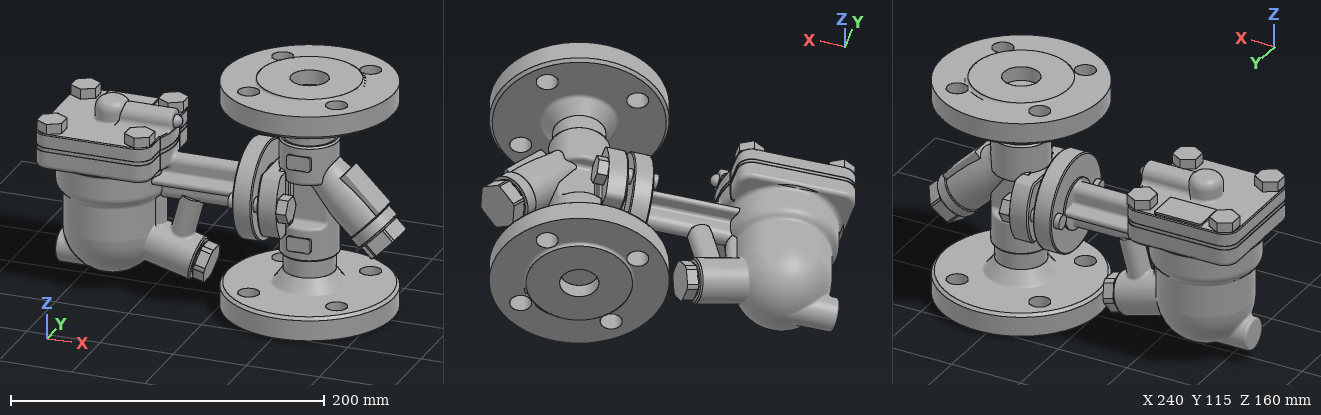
import cadquery as cq
import math


FACE_TO_FACE = 160.0
FLANGE_DIA = 115.0
FLANGE_THICK = 18.0
FACE_DIA = 68.0
FACE_HEIGHT = 2.0
FLANGE_CHAMFER = 2.0
BOLT_CIRCLE_DIA = 85.0
FLANGE_HOLE_DIA = 14.0
BORE_DIA = 25.0
BORE_DEPTH = 10.0
NECK_DIA = 34.0
HUB_BASE_DIA = 49.0
HUB_HEIGHT = 10.0
HUB_FILLET = 3.0
BODY_DIA = 39.0
BODY_LENGTH = 80.0
BODY_CHAMFER = 1.2
LABEL_PAD_LENGTH = 16.2
LABEL_PAD_HEIGHT = 10.2
LABEL_PAD_CORNER = 2.0
LABEL_PAD_FACE = 20.0
LABEL_PAD_Z = 28.4
WAIST_WIDTH = 21.0
WAIST_HEIGHT = 29.2
WAIST_LIP_FILLET = 2.5
WAIST_ROOT_FILLET = 3.0

STRAINER_START_Z = 27.5
STRAINER_ANGLE = 45.0
STRAINER_ROOT_RADIUS = 13.6
STRAINER_MIDDLE_RADIUS = 15.4
STRAINER_RADIUS = 15.6
STRAINER_ROOT = 18.0
STRAINER_MIDDLE = 36.0
COLLAR_START = 57.5
COLLAR_END = 65.8
COLLAR_RADIUS = 16.3
STRAINER_PAD_START = 24.0
STRAINER_PAD_WIDTH = 19.6
STRAINER_PAD_TOP = 16.2
STRAINER_PAD_EDGE = 1.0
STRAINER_WASHER_DIA = 28.0
STRAINER_WASHER_THICK = 1.2
STRAINER_CAP_AF = 28.0
STRAINER_CAP_TURNED_DIA = 31.5
STRAINER_CAP_END = 76.95
STRAINER_CAP_TURN = -12.0

JOINT_Z = -2.0
DISC_DIA = 67.4
DISC_LEFT_X = -40.2
DISC_RIGHT_X = -27.0
DISC_CHAMFER = 0.8
SPIGOT_DIA = 35.0
SPIGOT_LIP = 1.2
SEAT_LEFT_X = -23.3
SEAT_RIGHT_X = -10.0
SEAT_HEIGHT = 43.4
SEAT_EDGE = 1.0
SEAT_CORNER = 4.4
SEAT_WEB_RIGHT_X = -7.0
SEAT_WEB_LEFT_X = -14.4
SEAT_WEB_WIDTH = 34.0
SEAT_WEB_HEIGHT = 45.0
SEAT_WEB_CORNER = 2.0
JOINT_BOLT_DIA = 10.0
JOINT_BOLT_Y = 25.5
JOINT_BOLT_LEFT_X = -44.2
JOINT_BOLT_AF = 16.0
JOINT_BOLT_HEAD = 7.0

TRAP_X = -134.6
BOWL_RADIUS = 32.0
BOWL_CENTRE_Z = -41.7
BOWL_TOP_Z = -19.2
DRUM_RADIUS = 36.5
DRUM_BOTTOM_Z = -10.5
DRUM_TOP_Z = 3.2
DRUM_FLARE = 2.8
SHOULDER_RADIUS = 7.2
PLATE_HALF = 40.0
PLATE_RIGHT = 38.9
PLATE_CORNER = 10.0
PLATE_BOTTOM_Z = 6.0
PLATE_BOTTOM_FILLET = 2.9
GASKET_BOTTOM_Z = 18.6
GASKET_TOP_Z = 21.2
GASKET_INSET = 0.3
COVER_TOP_Z = 30.7
COVER_EDGE = 0.7
COVER_BULGE_RADIUS = 42.8
COVER_BULGE_WIDTH = 34.0
COVER_BOLT_PITCH = 60.0
COVER_BOLT_AF = 17.0
COVER_BOLT_HEAD = 7.0
PLATE_LABEL_LENGTH = 34.0
PLATE_LABEL_WIDTH = 21.8
PLATE_LABEL_Y = 26.9
PLATE_LABEL_HEIGHT = 1.3
PLATE_LABEL_CORNER = 1.0

DOME_RADIUS = 11.2
DOME_TOP_RADIUS = 4.0
DOME_TOP_Z = 46.0
DOME_FILLET = 2.0
RIDGE_RADIUS = 8.0
RIDGE_AXIS_Z = 35.5
RIDGE_FOOT = 4.5
RIDGE_END_EDGE = 1.2
BALL_RADIUS = 8.73 / 2
BALL_REACH = 4.8

SIDE_BOSS_RADIUS = 11.3
SIDE_BOSS_Z = -62.3
SIDE_BOSS_END_X = -170.0
SIDE_BOSS_FILLET = 1.8
SIDE_BOSS_ROOT_FILLET = 2.2
OUTLET_ANGLE = 15.0
OUTLET_DIA = 29.6
OUTLET_LENGTH = 61.2
OUTLET_EDGE = 1.0
OUTLET_ROOT_FILLET = 1.5
OUTLET_WASHER_DIA = 22.0
OUTLET_WASHER_THICK = 1.2
OUTLET_CAP_AF = 24.0
OUTLET_CAP_TURNED_DIA = 26.0
OUTLET_CAP_END = 70.0
CROSS_PIPE_DIA = 16.0
CROSS_PIPE_FILLET = 2.0
CROSS_PIPE_TOP_Z = -14.0
CROSS_PIPE_AT = 46.1
BOWL_RIB_WIDTH = 12.0
BOWL_RIB_X = -97.6
BOWL_RIB_ROUNDING = 5.9

ARM_HEIGHT = 32.0
ARM_WIDTH = 12.0
ARM_RIB_SPAN = 32.4
ARM_RIB_THICK = 5.0
ARM_GROOVE_FILLET = 2.4
ARM_TRAP_FILLET = 2.5
ARM_DISC_FILLET = 1.2

SEAM_TOLERANCE = 1e-4
SELECT_MARGIN = 1.0
Y_DIR = (0, 1, 0)


def along(origin, tilt=0.0):
    """Plane whose normal runs along +X, tilted down by `tilt` degrees; its x axis is Y."""
    angle = math.radians(tilt)
    return cq.Plane(origin, Y_DIR, (math.cos(angle), 0, -math.sin(angle)))


def hexagon(plane, start, end, across_flats):
    """Hexagonal prism along the plane normal with a corner on the plane's x axis."""
    corner_dia = across_flats / math.cos(math.radians(30))
    return cq.Workplane(plane).workplane(offset=start).polygon(6, corner_dia).extrude(end - start)


def cylinder(plane, start, end, diameter):
    return cq.Workplane(plane).workplane(offset=start).circle(diameter / 2).extrude(end - start)


def box(x_range, y_range, z_range):
    size = [high - low for low, high in (x_range, y_range, z_range)]
    corner = (x_range[0], y_range[0], z_range[0])
    return cq.Workplane("XY").box(*size, centered=False).translate(corner)


def blend(first, second, radius):
    """Union of two bodies with a fillet along the seam where their surfaces meet."""
    joined = first.union(second)
    bodies = (first.val(), second.val())
    seam = []
    for edge in joined.edges().vals():
        middle = cq.Vertex.makeVertex(*edge.positionAt(0.5).toTuple())
        if all(middle.distance(body) < SEAM_TOLERANCE for body in bodies):
            seam.append(edge)
    return joined.newObject(seam).fillet(radius)


def pipe_flange():
    """Top flange with hub; the bottom one is its mirror image."""
    top = FACE_TO_FACE / 2
    plate_top = top - FACE_HEIGHT
    plate_bottom = top - FLANGE_THICK
    hub_bottom = plate_bottom - HUB_HEIGHT
    face_radius = FACE_DIA / 2
    arc_drop = FACE_HEIGHT * math.sin(math.radians(45))
    flange = (
        cq.Workplane("XZ")
        .moveTo(0, BODY_LENGTH / 2)
        .lineTo(NECK_DIA / 2, BODY_LENGTH / 2)
        .lineTo(NECK_DIA / 2, hub_bottom)
        .lineTo(HUB_BASE_DIA / 2, plate_bottom)
        .lineTo(FLANGE_DIA / 2 - FLANGE_CHAMFER, plate_bottom)
        .lineTo(FLANGE_DIA / 2, plate_bottom + FLANGE_CHAMFER)
        .lineTo(FLANGE_DIA / 2, plate_top)
        .lineTo(face_radius + FACE_HEIGHT, plate_top)
        .threePointArc(
            (face_radius + FACE_HEIGHT - arc_drop, top - arc_drop), (face_radius, top)
        )
        .lineTo(0, top)
        .close()
        .revolve(360, (0, 0, 0), (0, 1, 0))
    )
    around_hub = cq.selectors.BoxSelector(
        (-HUB_BASE_DIA, -HUB_BASE_DIA, plate_bottom - SELECT_MARGIN),
        (HUB_BASE_DIA, HUB_BASE_DIA, plate_bottom + SELECT_MARGIN),
    )
    smallest = cq.selectors.RadiusNthSelector(0)
    flange = flange.edges("%CIRCLE").edges(around_hub).edges(smallest).fillet(HUB_FILLET)
    hole_offset = BOLT_CIRCLE_DIA / 2 * math.cos(math.radians(45))
    holes = (
        cq.Workplane("XY")
        .workplane(offset=plate_bottom)
        .rect(2 * hole_offset, 2 * hole_offset, forConstruction=True)
        .vertices()
        .circle(FLANGE_HOLE_DIA / 2)
        .extrude(FLANGE_THICK)
    )
    bore = cq.Workplane("XY").workplane(offset=top).circle(BORE_DIA / 2).extrude(-BORE_DEPTH)
    return flange.cut(holes).cut(bore)


def connector_body():
    """Vertical cylinder with two raised label pads and a waist flattened front and back."""
    body = (
        cq.Workplane("XY")
        .circle(BODY_DIA / 2)
        .extrude(BODY_LENGTH / 2, both=True)
        .edges()
        .chamfer(BODY_CHAMFER)
    )
    notch = box(
        (-BODY_DIA, BODY_DIA),
        (WAIST_WIDTH / 2, BODY_DIA),
        (JOINT_Z - WAIST_HEIGHT / 2, JOINT_Z + WAIST_HEIGHT / 2),
    )
    notch = notch.edges("|X and <Y").fillet(WAIST_ROOT_FILLET)
    body = body.cut(notch).cut(notch.mirror("XZ"))
    margin = WAIST_HEIGHT / 2 + SELECT_MARGIN
    waist = cq.selectors.BoxSelector(
        (-BODY_DIA, -BODY_DIA, JOINT_Z - margin), (BODY_DIA, BODY_DIA, JOINT_Z + margin)
    )
    body = body.edges("%CIRCLE").edges(waist).fillet(WAIST_LIP_FILLET)
    for pad_z in (-LABEL_PAD_Z, LABEL_PAD_Z):
        pad = (
            cq.Workplane("XZ")
            .center(0, pad_z)
            .rect(LABEL_PAD_LENGTH, LABEL_PAD_HEIGHT)
            .extrude(LABEL_PAD_FACE)
            .edges("|Y")
            .fillet(LABEL_PAD_CORNER)
        )
        body = body.union(pad)
    return body


def strainer():
    """Inclined branch with collar, flat-topped pad and hexagon cap."""
    axis = along((0, 0, STRAINER_START_Z), STRAINER_ANGLE)
    branch = (
        cq.Workplane(cq.Plane(axis.origin, axis.zDir, (0, -1, 0)))
        .lineTo(0, STRAINER_ROOT_RADIUS)
        .lineTo(STRAINER_ROOT, STRAINER_ROOT_RADIUS)
        .threePointArc((STRAINER_MIDDLE, STRAINER_MIDDLE_RADIUS), (COLLAR_START, STRAINER_RADIUS))
        .lineTo(COLLAR_START + COLLAR_RADIUS - STRAINER_RADIUS, COLLAR_RADIUS)
        .lineTo(COLLAR_END, COLLAR_RADIUS)
        .lineTo(COLLAR_END, 0)
        .close()
        .revolve(360, (0, 0, 0), (1, 0, 0))
    )
    pad = (
        cq.Workplane(axis)
        .workplane(offset=STRAINER_PAD_START)
        .center(0, STRAINER_PAD_TOP / 2)
        .rect(STRAINER_PAD_WIDTH, STRAINER_PAD_TOP)
        .extrude(COLLAR_START - STRAINER_PAD_START)
    )
    pad = pad.edges(cq.selectors.ParallelDirSelector(axis.zDir)).edges(">Z").fillet(STRAINER_PAD_EDGE)
    washer_end = COLLAR_END + STRAINER_WASHER_THICK
    washer = cylinder(axis, COLLAR_END, washer_end, STRAINER_WASHER_DIA)
    cap_axis = axis.rotated((0, 0, 90 + STRAINER_CAP_TURN))
    cap = hexagon(cap_axis, washer_end, STRAINER_CAP_END, STRAINER_CAP_AF)
    cap = cap.intersect(cylinder(axis, washer_end, STRAINER_CAP_END, STRAINER_CAP_TURNED_DIA))
    return branch.union(pad).union(washer).union(cap)


def joint():
    """Round trap flange, gasket spigot, flat-topped connector seat and two bolts."""
    axis = along((0, 0, JOINT_Z))
    disc = cylinder(axis, DISC_LEFT_X, DISC_RIGHT_X, DISC_DIA).edges().chamfer(DISC_CHAMFER)
    spigot = cylinder(axis, DISC_LEFT_X - SPIGOT_LIP, SEAT_LEFT_X, SPIGOT_DIA)
    half_height = SEAT_HEIGHT / 2
    seat_z = (JOINT_Z - half_height, JOINT_Z + half_height)
    seat = cylinder(axis, SEAT_LEFT_X, SEAT_RIGHT_X, DISC_DIA).intersect(
        box((SEAT_LEFT_X, SEAT_RIGHT_X), (-DISC_DIA, DISC_DIA), seat_z)
    )
    seat = seat.edges("|X").fillet(SEAT_CORNER).faces("<X").edges().chamfer(SEAT_EDGE)
    half_web = SEAT_WEB_HEIGHT / 2
    web_z = (JOINT_Z - half_web, JOINT_Z + half_web)
    half_width = SEAT_WEB_WIDTH / 2
    web = box((SEAT_WEB_LEFT_X, SEAT_WEB_RIGHT_X), (-half_width, half_width), web_z)
    web = web.edges("|X").fillet(SEAT_WEB_CORNER).faces(">X").edges().chamfer(SEAT_EDGE)
    inner = box((SEAT_WEB_RIGHT_X, 0), (-WAIST_WIDTH / 2, WAIST_WIDTH / 2), seat_z)
    assembly = disc.union(spigot).union(seat).union(web).union(inner)
    for bolt_y in (-JOINT_BOLT_Y, JOINT_BOLT_Y):
        bolt_axis = along((0, bolt_y, JOINT_Z))
        shank = cylinder(bolt_axis, JOINT_BOLT_LEFT_X, SEAT_RIGHT_X, JOINT_BOLT_DIA)
        head = hexagon(bolt_axis, SEAT_RIGHT_X, SEAT_RIGHT_X + JOINT_BOLT_HEAD, JOINT_BOLT_AF)
        assembly = assembly.union(shank).union(head)
    return assembly


def trap_bowl():
    """Hemispherical bowl, wider drum above it and the flare under the plate."""
    diagonal = math.cos(math.radians(45))
    shoulder_angle = 2 * math.atan2(DRUM_RADIUS - BOWL_RADIUS, DRUM_BOTTOM_Z - BOWL_TOP_Z)
    shoulder_r = DRUM_RADIUS - SHOULDER_RADIUS * (1 - math.cos(shoulder_angle))
    shoulder_z = DRUM_BOTTOM_Z - SHOULDER_RADIUS * math.sin(shoulder_angle)
    return (
        cq.Workplane("XZ")
        .moveTo(0, BOWL_CENTRE_Z - BOWL_RADIUS)
        .threePointArc(
            (BOWL_RADIUS * diagonal, BOWL_CENTRE_Z - BOWL_RADIUS * diagonal),
            (BOWL_RADIUS, BOWL_CENTRE_Z),
        )
        .lineTo(BOWL_RADIUS, BOWL_TOP_Z)
        .tangentArcPoint((shoulder_r, shoulder_z), relative=False)
        .tangentArcPoint((DRUM_RADIUS, DRUM_BOTTOM_Z), relative=False)
        .lineTo(DRUM_RADIUS, DRUM_TOP_Z)
        .radiusArc((DRUM_RADIUS + DRUM_FLARE, DRUM_TOP_Z + DRUM_FLARE), DRUM_FLARE)
        .lineTo(0, DRUM_TOP_Z + DRUM_FLARE)
        .close()
        .revolve(360, (0, 0, 0), (0, 1, 0))
        .translate((TRAP_X, 0, 0))
    )


def trap_plate(bottom, top, inset=0.0):
    """Rounded plate of the cover joint with the bulge towards the arm."""
    z_range = (bottom, top)
    half = PLATE_HALF - inset
    plate = box((TRAP_X - half, TRAP_X + PLATE_RIGHT - inset), (-half, half), z_range)
    plate = plate.edges("|Z").fillet(PLATE_CORNER)
    bulge = (
        cq.Workplane("XY")
        .workplane(offset=bottom)
        .center(TRAP_X, 0)
        .circle(COVER_BULGE_RADIUS - inset)
        .extrude(top - bottom)
    )
    half_bulge = COVER_BULGE_WIDTH / 2
    bulge = bulge.intersect(
        box((TRAP_X, TRAP_X + COVER_BULGE_RADIUS), (-half_bulge, half_bulge), z_range)
    )
    return plate.union(bulge)


def trap_plates():
    lower = trap_plate(PLATE_BOTTOM_Z, GASKET_BOTTOM_Z).faces("<Z").edges().fillet(PLATE_BOTTOM_FILLET)
    gasket = trap_plate(GASKET_BOTTOM_Z, GASKET_TOP_Z, GASKET_INSET)
    cover = trap_plate(GASKET_TOP_Z, COVER_TOP_Z).faces(">Z").edges().chamfer(COVER_EDGE)
    plates = lower.union(gasket).union(cover)
    half_pitch = COVER_BOLT_PITCH / 2
    for side_x in (-half_pitch, half_pitch):
        for side_y in (-half_pitch, half_pitch):
            seat = cq.Plane((TRAP_X + side_x, side_y, COVER_TOP_Z), Y_DIR, (0, 0, 1))
            plates = plates.union(hexagon(seat, 0, COVER_BOLT_HEAD, COVER_BOLT_AF))
    label = (
        cq.Workplane("XY")
        .workplane(offset=COVER_TOP_Z)
        .center(TRAP_X, PLATE_LABEL_Y)
        .rect(PLATE_LABEL_LENGTH, PLATE_LABEL_WIDTH)
        .extrude(PLATE_LABEL_HEIGHT)
        .edges("|Z")
        .fillet(PLATE_LABEL_CORNER)
    )
    return plates.union(label)


def cover_dome_and_ridge():
    """Round-topped dome on the cover, running into a half-round ridge that ends in a ball."""
    rounding = DOME_RADIUS - DOME_TOP_RADIUS
    dome = (
        cq.Workplane("XZ")
        .moveTo(0, COVER_TOP_Z)
        .lineTo(DOME_RADIUS + DOME_FILLET, COVER_TOP_Z)
        .radiusArc((DOME_RADIUS, COVER_TOP_Z + DOME_FILLET), DOME_FILLET)
        .lineTo(DOME_RADIUS, DOME_TOP_Z - rounding)
        .radiusArc((DOME_TOP_RADIUS, DOME_TOP_Z), -rounding)
        .lineTo(0, DOME_TOP_Z)
        .close()
        .revolve(360, (0, 0, 0), (0, 1, 0))
        .translate((TRAP_X, 0, 0))
    )
    foot = RIDGE_RADIUS + RIDGE_FOOT
    length = COVER_BULGE_RADIUS
    ridge = (
        cq.Workplane(along((TRAP_X, 0, 0)))
        .moveTo(-foot, COVER_TOP_Z)
        .radiusArc((-RIDGE_RADIUS, COVER_TOP_Z + RIDGE_FOOT), -RIDGE_FOOT)
        .lineTo(-RIDGE_RADIUS, RIDGE_AXIS_Z)
        .threePointArc((0, RIDGE_AXIS_Z + RIDGE_RADIUS), (RIDGE_RADIUS, RIDGE_AXIS_Z))
        .lineTo(RIDGE_RADIUS, COVER_TOP_Z + RIDGE_FOOT)
        .radiusArc((foot, COVER_TOP_Z), -RIDGE_FOOT)
        .close()
        .extrude(length)
        .faces(">X")
        .edges("%CIRCLE and >Z")
        .fillet(RIDGE_END_EDGE)
    )
    end_x = TRAP_X + length
    ball_centre = (end_x + BALL_REACH - BALL_RADIUS, 0, RIDGE_AXIS_Z)
    ball = cq.Workplane("XY").sphere(BALL_RADIUS).translate(ball_centre)
    return dome.union(ridge).union(ball)


def side_boss():
    boss = cylinder(along((0, 0, SIDE_BOSS_Z)), SIDE_BOSS_END_X, TRAP_X, 2 * SIDE_BOSS_RADIUS)
    return boss.faces("<X").edges().fillet(SIDE_BOSS_FILLET)


def outlet():
    """Inclined valve seat boss with hexagon cap, and the pipe rising square to it into the arm."""
    axis = along((TRAP_X, 0, BOWL_CENTRE_Z), OUTLET_ANGLE)
    boss = cylinder(axis, 0, OUTLET_LENGTH, OUTLET_DIA).faces(">X").edges().chamfer(OUTLET_EDGE)
    washer_end = OUTLET_LENGTH + OUTLET_WASHER_THICK
    washer = cylinder(axis, OUTLET_LENGTH, washer_end, OUTLET_WASHER_DIA)
    cap = hexagon(axis, washer_end, OUTLET_CAP_END, OUTLET_CAP_AF)
    cap = cap.intersect(cylinder(axis, washer_end, OUTLET_CAP_END, OUTLET_CAP_TURNED_DIA))
    tilt = math.radians(OUTLET_ANGLE)
    foot_x = TRAP_X + CROSS_PIPE_AT * math.cos(tilt)
    foot_z = BOWL_CENTRE_Z - CROSS_PIPE_AT * math.sin(tilt)
    pipe_axis = along((foot_x, 0, foot_z), OUTLET_ANGLE - 90)
    pipe_length = (CROSS_PIPE_TOP_Z - foot_z) / math.cos(tilt)
    pipe = cylinder(pipe_axis, 0, pipe_length, CROSS_PIPE_DIA)
    return blend(boss, pipe, CROSS_PIPE_FILLET).union(washer).union(cap)


def arm():
    """Beam of cross-shaped section from the trap to the joint flange."""
    plane = along((TRAP_X, 0, JOINT_Z))
    length = DISC_LEFT_X - TRAP_X
    upright = cq.Workplane(plane).slot2D(ARM_HEIGHT, ARM_WIDTH, 90).extrude(length)
    ribs = cq.Workplane(plane).slot2D(ARM_RIB_SPAN, ARM_RIB_THICK).extrude(length)
    root_edges = cq.selectors.BoxSelector(
        (TRAP_X, -ARM_WIDTH / 2 - SELECT_MARGIN, JOINT_Z - ARM_RIB_THICK / 2 - SELECT_MARGIN),
        (DISC_LEFT_X, ARM_WIDTH / 2 + SELECT_MARGIN, JOINT_Z + ARM_RIB_THICK / 2 + SELECT_MARGIN),
    )
    return upright.union(ribs).edges("|X").edges(root_edges).fillet(ARM_GROOVE_FILLET)


def bowl_rib():
    """Rounded rib that runs down the bowl below the arm."""
    half = BOWL_RIB_WIDTH / 2
    rib = box((TRAP_X, BOWL_RIB_X), (-half, half), (BOWL_CENTRE_Z, JOINT_Z))
    return rib.edges("|Z and >X").fillet(BOWL_RIB_ROUNDING)


bowl = trap_bowl().union(bowl_rib())
bowl = blend(bowl, side_boss(), SIDE_BOSS_ROOT_FILLET)
bowl = blend(bowl, outlet(), OUTLET_ROOT_FILLET)
plates_and_arm = blend(trap_plates(), arm(), ARM_TRAP_FILLET)
trap = blend(plates_and_arm, joint(), ARM_DISC_FILLET).union(bowl).union(cover_dome_and_ridge())
top_flange = pipe_flange()
connector = connector_body().union(top_flange).union(top_flange.mirror("XY")).union(strainer())
result = trap.union(connector)